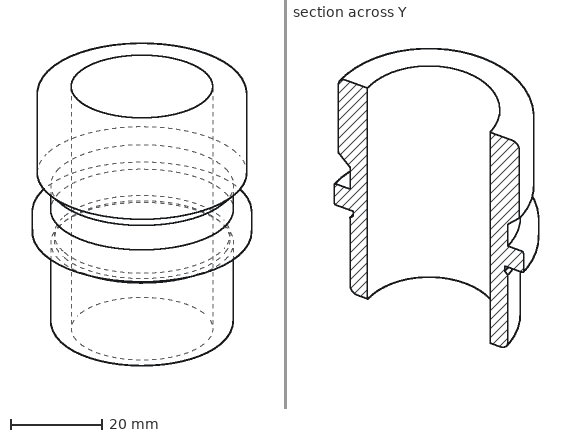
import cadquery as cq

height = 59.0
bore_diameter = 31.0

head_diameter = 45.9
body_diameter = 40.0
flange_diameter = 48.0
groove_diameter = 38.45

groove_bottom = 21.7
flange_bottom = 23.0
flange_top = 29.0
cone_bottom = 35.0
cone_top = cone_bottom + (head_diameter - body_diameter) / 2

end_fillet = 2.0
flange_fillet = 0.6
groove_chamfer = (body_diameter - groove_diameter) / 2


def cylinder(diameter, bottom, top):
    """Solid cylinder about the Z axis between two heights."""
    return cq.Workplane("XY").workplane(offset=bottom).circle(diameter / 2).extrude(top - bottom)


spigot = cylinder(body_diameter, 0, groove_bottom)
spigot = spigot.faces("<Z").edges().fillet(end_fillet)
spigot = spigot.faces(">Z").edges().chamfer(groove_chamfer)

groove = cylinder(groove_diameter, groove_bottom, flange_bottom)

flange = cylinder(flange_diameter, flange_bottom, flange_top).edges().fillet(flange_fillet)

neck = cylinder(body_diameter, flange_top, cone_bottom)

cone_width = cone_top - cone_bottom
head = cylinder(head_diameter, cone_bottom, height)
head = head.faces("<Z").edges().chamfer(cone_width)
head = head.faces(">Z").edges().fillet(end_fillet)

bore = cylinder(bore_diameter, 0, height)

result = spigot.union(groove).union(flange).union(neck).union(head).cut(bore)